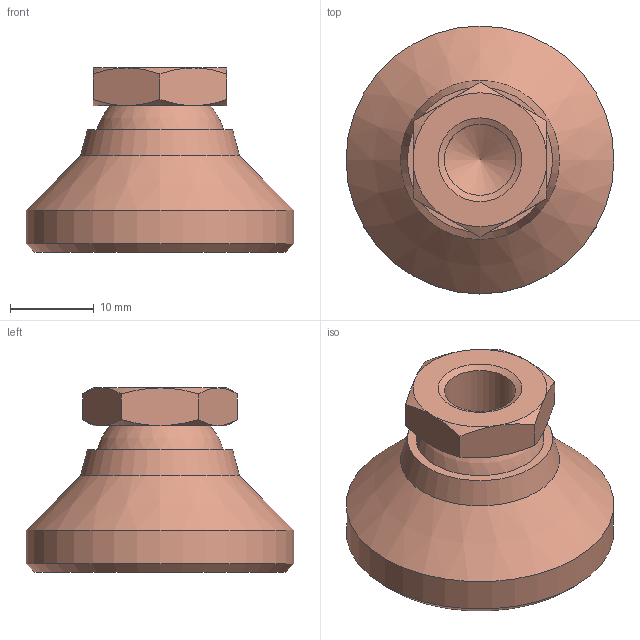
import cadquery as cq
import math

total_height = 22.0

foot_radius = 16.0
bottom_chamfer = 1.0
rim_top = 5.0
collar_base_radius = 9.5
collar_base_z = rim_top + (foot_radius - collar_base_radius)
collar_height = 3.1
collar_draft = 15.0
collar_top_z = collar_base_z + collar_height
collar_top_radius = collar_base_radius - collar_height * math.tan(math.radians(collar_draft))

ball_radius = 8.0
ball_center_z = 12.2

hex_across_flats = 16.0
hex_across_corners = hex_across_flats / math.cos(math.radians(30))
hex_height = 4.5
hex_bottom_z = total_height - hex_height
corner_chamfer_angle = 30.0

thread_diameter = 10.0
core_diameter = 8.5
entry_chamfer_angle = 120.0
bore_depth = 11.0
drill_point_angle = 118.0


def make_ball():
    """Full ball, also the tool for the matching socket."""
    return cq.Workplane("XY").sphere(ball_radius).translate((0, 0, ball_center_z))


def make_foot():
    body = (
        cq.Workplane("XZ")
        .moveTo(0, 0)
        .lineTo(foot_radius - bottom_chamfer, 0)
        .lineTo(foot_radius, bottom_chamfer)
        .lineTo(foot_radius, rim_top)
        .lineTo(collar_base_radius, collar_base_z)
        .lineTo(collar_top_radius, collar_top_z)
        .lineTo(0, collar_top_z)
        .close()
        .revolve(360, (0, 0, 0), (0, 1, 0))
    )
    return body.cut(make_ball())


def make_hex_head():
    """Hexagon with corners on the Y axis, turned conically at both ends."""
    prism = (
        cq.Workplane("XY", origin=(0, 0, hex_bottom_z))
        .polygon(6, hex_across_corners)
        .extrude(hex_height)
        .rotate((0, 0, 0), (0, 0, 1), 30)
    )
    face_radius = hex_across_flats / 2
    middle_z = hex_bottom_z + hex_height / 2
    cone_radius = face_radius + hex_height / 2 / math.tan(math.radians(corner_chamfer_angle))
    double_cone = (
        cq.Workplane("XZ")
        .moveTo(0, hex_bottom_z)
        .lineTo(face_radius, hex_bottom_z)
        .lineTo(cone_radius, middle_z)
        .lineTo(face_radius, total_height)
        .lineTo(0, total_height)
        .close()
        .revolve(360, (0, 0, 0), (0, 1, 0))
    )
    return prism.intersect(double_cone)


def make_bore():
    """Core bore with a conical entry chamfer and a conical drill point."""
    core_radius = core_diameter / 2
    thread_radius = thread_diameter / 2
    chamfer_depth = (thread_radius - core_radius) / math.tan(math.radians(entry_chamfer_angle / 2))
    bore_end_z = total_height - bore_depth
    point_z = bore_end_z - core_radius / math.tan(math.radians(drill_point_angle / 2))
    return (
        cq.Workplane("XZ")
        .moveTo(0, total_height)
        .lineTo(thread_radius, total_height)
        .lineTo(core_radius, total_height - chamfer_depth)
        .lineTo(core_radius, bore_end_z)
        .lineTo(0, point_z)
        .close()
        .revolve(360, (0, 0, 0), (0, 1, 0))
    )


def make_swivel_nut():
    ball_above_head_base = (
        cq.Workplane("XY", origin=(0, 0, hex_bottom_z))
        .circle(ball_radius)
        .extrude(hex_height)
    )
    return make_ball().cut(ball_above_head_base).union(make_hex_head()).cut(make_bore())


foot = make_foot()
swivel_nut = make_swivel_nut()

result = cq.Compound.makeCompound([foot.val(), swivel_nut.val()])